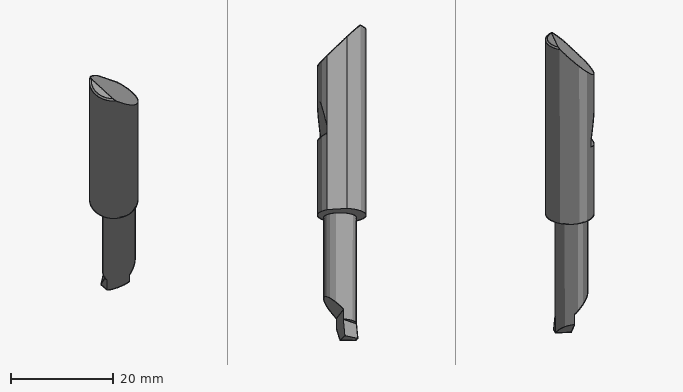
import cadquery as cq
import math

length = 63.5
shank_radius = 4.75
shank_bottom = 25.4
end_chamfer_width = 0.4
end_chamfer_height = 0.25
end_slope_start_y = -3.0
flat_edge_y = 3.6
notch_floor_y = 3.6
notch_top = 48.75
notch_floor_top = 42.4
notch_floor_bottom = 41.1
notch_bottom = 40.5

neck_diameter = 6.4
neck_radius = neck_diameter / 2
neck_x = shank_radius - neck_radius
rake_top = 5.7

head_top = 3.75
head_right_x = 1.65
tip_x = -2.8
heel_x = -0.3
flank_slope = 0.37
bottom_rise_x = 0.07
bottom_rise_y = 0.08
corner_z = 0.45
clear = 12.7


def side_prism(points):
    """Prism along X from a (y, z) outline."""
    return cq.Workplane("YZ").polyline(points).close().extrude(clear, both=True)


def make_shank():
    shank = (
        cq.Workplane("XZ")
        .polyline([
            (0, shank_bottom),
            (shank_radius, shank_bottom),
            (shank_radius, length - end_chamfer_height),
            (shank_radius - end_chamfer_width, length),
            (0, length),
        ])
        .close()
        .revolve(360, (0, 0), (0, 1))
    )

    end_slope = side_prism([
        (end_slope_start_y, length),
        (end_slope_start_y + clear, length - clear),
        (end_slope_start_y + clear, length),
    ])
    notch = side_prism([
        (shank_radius, notch_top),
        (notch_floor_y, notch_floor_top),
        (notch_floor_y, notch_floor_bottom),
        (shank_radius, notch_bottom),
        (clear, notch_bottom),
        (clear, notch_top),
    ])

    half_angle = math.asin(flat_edge_y / shank_radius) / 2
    flat_distance = shank_radius * math.cos(half_angle)
    side_flat = (
        cq.Workplane("XY")
        .box(clear, clear, length, centered=(False, True, False))
        .translate((flat_distance, 0, 0))
        .rotate((0, 0, 0), (0, 0, 1), 180 - math.degrees(half_angle))
    )
    return shank.cut(end_slope).cut(notch).cut(side_flat)


def make_neck():
    neck = cq.Workplane("XY").center(neck_x, 0).circle(neck_radius).extrude(shank_bottom)
    rake_cut = side_prism([
        (0, -clear),
        (0, rake_top),
        (clear, rake_top + clear),
        (clear, -clear),
    ])
    head_space = cq.Workplane("XY").box(clear, 2 * clear, head_top, centered=(False, True, False))
    head_space = head_space.translate((head_right_x - clear, 0, 0))
    return neck.cut(rake_cut).cut(head_space)


def make_head():
    skew = math.atan2(heel_x - tip_x, neck_radius)
    sweep_plane = cq.Plane(
        origin=(tip_x, 0, 0),
        xDir=(math.cos(skew), math.sin(skew), 0),
        normal=(math.sin(skew), -math.cos(skew), 0),
    )
    flank_run = flank_slope * head_top * math.cos(skew)
    flank_cut = (
        cq.Workplane(sweep_plane)
        .polyline([(0, 0), (flank_run, head_top), (-clear, head_top), (-clear, 0)])
        .close()
        .extrude(clear, both=True)
    )
    body = (
        cq.Workplane("XY")
        .box(clear, neck_radius, head_top, centered=False)
        .translate((head_right_x - clear, -neck_radius, 0))
    )
    return body.cut(flank_cut)


def end_face_cut():
    """Everything below the sloping end face, which passes through the tip."""
    below = cq.Plane(origin=(tip_x, 0, 0), normal=(bottom_rise_x, -bottom_rise_y, -1))
    return cq.Workplane(below).rect(2 * clear, 2 * clear).extrude(clear)


def corner_cut():
    points = [
        (head_right_x - clear, corner_z - clear),
        (head_right_x + clear, corner_z + clear),
        (head_right_x + clear, corner_z - clear),
    ]
    return cq.Workplane("XZ").polyline(points).close().extrude(clear, both=True)


result = make_shank().union(make_neck()).union(make_head())
result = result.cut(end_face_cut()).cut(corner_cut())